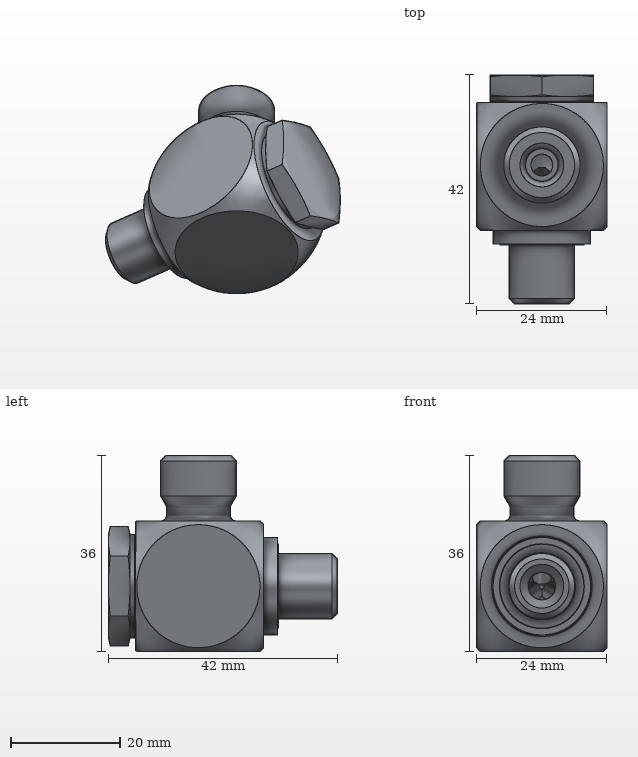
import cadquery as cq
import math


block_width = 24.0
front_face_y = -block_width / 2
rear_face_y = 11.5
face_circle_diameter = 22.6
bore_diameter = 13.1

recess_diameter = 18.0
recess_depth = 4.0
recess_floor_y = front_face_y + recess_depth
recess_chamfer = 0.2

stub_top_z = 24.0
stub_diameter = 14.0
stub_chamfer = 1.0
stub_shoulder_z = 16.6
neck_diameter = 11.7
neck_fillet = 1.0
neck_taper_angle = 30
stub_mouth_diameter = 8.02
stub_cone_end_diameter = 6.0
stub_cone_length = 5.0
stub_bore_diameter = 4.0

collar_outer_diameter = 17.9
collar_inner_diameter = 15.6
collar_front_y = -14.55
ring_outer_diameter = 15.4
ring_inner_diameter = 12.3
ring_front_y = -14.7

spigot_diameter = 12.0
spigot_front_y = -25.5
spigot_chamfer = 1.0
journal_diameter = 12.8
flange_front_y = 11.68
hex_front_y = 12.55
hex_rear_y = 16.5
hex_side_count = 6
hex_across_flats = 19.03
flange_diameter = hex_across_flats
hex_corner_relief = 0.35
bolt_mouth_diameter = 8.02
bolt_bore_diameter = 5.0
bolt_cone_length = 12.0
bolt_bore_end_y = -4.4
drill_tip_angle = 118

groove_center_y = 2.3
groove_floor_diameter = 9.4
groove_floor_radius = 8.02
groove_flank_angle = 20
feed_hole_diameter = 3.5
feed_hole_count = 3
feed_hole_tilt = 30


def turned(outline):
    """Revolve a closed outline about the second axis of its plane: Y in XY, Z in XZ."""
    return outline.close().revolve(360, (0, 0, 0), (0, 1, 0))


def cylinder_along_y(diameter, start_y, end_y):
    return turned(
        cq.Workplane("XY")
        .moveTo(0, start_y)
        .lineTo(diameter / 2, start_y)
        .lineTo(diameter / 2, end_y)
        .lineTo(0, end_y)
    )


def make_tube(outer_diameter, inner_diameter, start_y, end_y):
    outer = cylinder_along_y(outer_diameter, start_y, end_y)
    return outer.cut(cylinder_along_y(inner_diameter, start_y, end_y))




def make_block():
    """Cube rounded by a sphere, so that a circle is left flat on each face."""
    half_width = block_width / 2
    sphere_radius = math.hypot(half_width, face_circle_diameter / 2)
    block = (
        cq.Workplane("XY")
        .box(block_width, rear_face_y - front_face_y, block_width)
        .translate((0, (rear_face_y + front_face_y) / 2, 0))
    )
    return block.intersect(cq.Workplane("XY").sphere(sphere_radius))


def make_stub():
    """Outside of the stub: cylindrical head, tapered shoulder and filleted neck."""
    head_radius = stub_diameter / 2
    neck_radius = neck_diameter / 2
    base_z = block_width / 2
    taper = math.radians(neck_taper_angle)

    corner_z = stub_shoulder_z - (head_radius - neck_radius) / math.tan(taper)
    tangent_length = neck_fillet * math.tan(taper / 2)
    arc_center_r = neck_radius + neck_fillet
    arc_end_z = corner_z - tangent_length

    def upper_arc_point(angle):
        return (
            arc_center_r - neck_fillet * math.cos(angle),
            arc_end_z + neck_fillet * math.sin(angle),
        )

    arc_middle_offset = neck_fillet / math.sqrt(2)
    lower_arc_middle = (
        arc_center_r - arc_middle_offset,
        base_z + neck_fillet - arc_middle_offset,
    )
    return turned(
        cq.Workplane("XZ")
        .moveTo(0, 0)
        .lineTo(arc_center_r, 0)
        .lineTo(arc_center_r, base_z)
        .threePointArc(lower_arc_middle, (neck_radius, base_z + neck_fillet))
        .lineTo(neck_radius, arc_end_z)
        .threePointArc(upper_arc_point(taper / 2), upper_arc_point(taper))
        .lineTo(head_radius, stub_shoulder_z)
        .lineTo(head_radius, stub_top_z - stub_chamfer)
        .lineTo(head_radius - stub_chamfer, stub_top_z)
        .lineTo(0, stub_top_z)
    )


def make_stub_bore():
    """Conical mouth in the stub with a smaller bore down into the housing."""
    cone_end_z = stub_top_z - stub_cone_length
    return turned(
        cq.Workplane("XZ")
        .moveTo(0, 0)
        .lineTo(stub_bore_diameter / 2, 0)
        .lineTo(stub_bore_diameter / 2, cone_end_z)
        .lineTo(stub_cone_end_diameter / 2, cone_end_z)
        .lineTo(stub_mouth_diameter / 2, stub_top_z)
        .lineTo(0, stub_top_z)
    )


def make_bolt_passage():
    """Bore through the housing along Y with the chamfered recess at its front."""
    bore_radius = bore_diameter / 2
    recess_radius = recess_diameter / 2
    return turned(
        cq.Workplane("XY")
        .moveTo(0, front_face_y)
        .lineTo(recess_radius + recess_chamfer, front_face_y)
        .lineTo(recess_radius, front_face_y + recess_chamfer)
        .lineTo(recess_radius, recess_floor_y)
        .lineTo(bore_radius, recess_floor_y)
        .lineTo(bore_radius, rear_face_y)
        .lineTo(0, rear_face_y)
    )


def make_housing():
    return make_block().union(make_stub()).cut(make_stub_bore()).cut(make_bolt_passage())




def make_hex_head():
    """Hexagon with corners pointing up and down, relieved by a flat cone on both ends."""
    across_corners = hex_across_flats / math.cos(math.pi / hex_side_count)
    half_side_turn = 180 / hex_side_count
    hexagon = (
        cq.Workplane("XZ", origin=(0, hex_rear_y, 0))
        .polygon(hex_side_count, across_corners)
        .extrude(hex_rear_y - hex_front_y)
        .rotate((0, 0, 0), (0, 1, 0), half_side_turn)
    )
    relief = turned(
        cq.Workplane("XY")
        .moveTo(0, hex_front_y)
        .lineTo(hex_across_flats / 2, hex_front_y)
        .lineTo(across_corners / 2, hex_front_y + hex_corner_relief)
        .lineTo(across_corners / 2, hex_rear_y - hex_corner_relief)
        .lineTo(hex_across_flats / 2, hex_rear_y)
        .lineTo(0, hex_rear_y)
    )
    return hexagon.intersect(relief)


def make_bolt_shank():
    """Spigot, grooved journal and flange turned in one piece."""
    spigot_radius = spigot_diameter / 2
    journal_radius = journal_diameter / 2
    flank = math.radians(groove_flank_angle)

    floor_half_width = groove_floor_radius * math.sin(flank)
    floor_r = groove_floor_diameter / 2
    flank_start_r = floor_r + groove_floor_radius * (1 - math.cos(flank))
    groove_half_width = floor_half_width + (journal_radius - flank_start_r) / math.tan(flank)
    return turned(
        cq.Workplane("XY")
        .moveTo(0, spigot_front_y)
        .lineTo(spigot_radius - spigot_chamfer, spigot_front_y)
        .lineTo(spigot_radius, spigot_front_y + spigot_chamfer)
        .lineTo(spigot_radius, recess_floor_y)
        .lineTo(journal_radius, recess_floor_y)
        .lineTo(journal_radius, groove_center_y - groove_half_width)
        .lineTo(flank_start_r, groove_center_y - floor_half_width)
        .threePointArc((floor_r, groove_center_y), (flank_start_r, groove_center_y + floor_half_width))
        .lineTo(journal_radius, groove_center_y + groove_half_width)
        .lineTo(journal_radius, flange_front_y)
        .lineTo(flange_diameter / 2, flange_front_y)
        .lineTo(flange_diameter / 2, hex_front_y)
        .lineTo(0, hex_front_y)
    )


def make_bolt_bore():
    """Tapered mouth, straight bore and drill tip."""
    bore_radius = bolt_bore_diameter / 2
    tip_length = bore_radius / math.tan(math.radians(drill_tip_angle / 2))
    return turned(
        cq.Workplane("XY")
        .moveTo(0, spigot_front_y)
        .lineTo(bolt_mouth_diameter / 2, spigot_front_y)
        .lineTo(bore_radius, spigot_front_y + bolt_cone_length)
        .lineTo(bore_radius, bolt_bore_end_y)
        .lineTo(0, bolt_bore_end_y + tip_length)
    )


def make_feed_holes():
    """Slanted holes from the end of the bolt bore to the front flank of the groove."""
    tilt = math.radians(feed_hole_tilt)
    flank = math.radians(groove_flank_angle)
    radius = feed_hole_diameter / 2

    rim_y = groove_center_y - groove_floor_radius * math.sin(flank)
    rim_r = groove_floor_diameter / 2 + groove_floor_radius * (1 - math.cos(flank))
    half_length = radius / math.cos(tilt - flank)
    exit_y = rim_y - half_length * math.cos(flank)
    exit_r = rim_r + half_length * math.sin(flank)
    start_y = exit_y - exit_r * math.tan(tilt)

    hole_length = journal_diameter

    hole = cq.Workplane(
        cq.Solid.makeCylinder(
            radius,
            hole_length,
            cq.Vector(0, start_y, 0),
            cq.Vector(0, math.sin(tilt), math.cos(tilt)),
        )
    )
    return [
        hole.rotate((0, 0, 0), (0, 1, 0), index * 360 / feed_hole_count)
        for index in range(feed_hole_count)
    ]


def make_bolt():
    bolt = make_bolt_shank().union(make_hex_head()).cut(make_bolt_bore())
    for feed_hole in make_feed_holes():
        bolt = bolt.cut(feed_hole)
    return bolt



housing = make_housing()
bolt = make_bolt()
collar = make_tube(collar_outer_diameter, collar_inner_diameter, collar_front_y, recess_floor_y)
ring = make_tube(ring_outer_diameter, ring_inner_diameter, ring_front_y, recess_floor_y)

result = cq.Compound.makeCompound([housing.val(), bolt.val(), collar.val(), ring.val()])